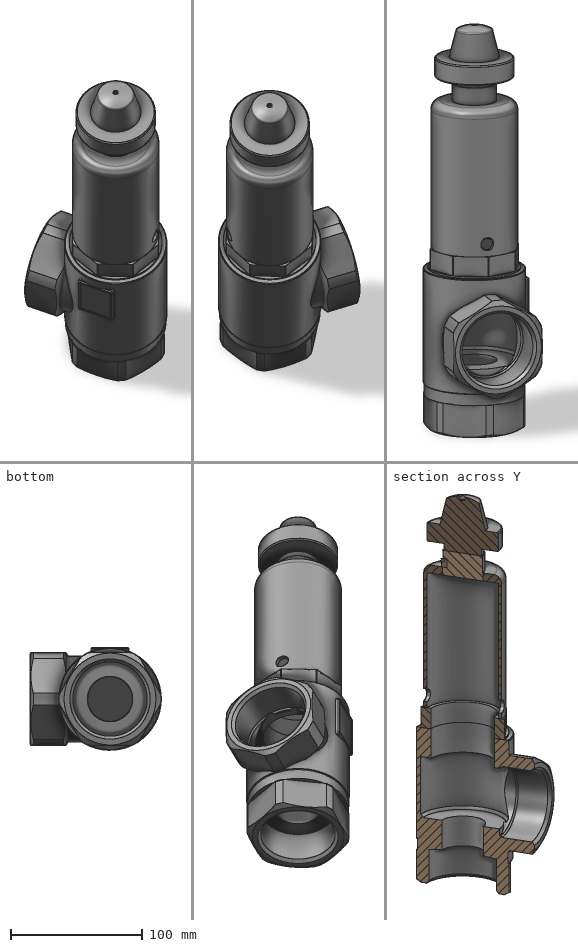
import cadquery as cq
import math


body_radius = 39.0
body_top = 124.7
body_chamfer = 0.5
skirt_radius = 38.5
skirt_top = 34.5
hex_apothem = 35.3
inlet_hex_top = 25.8
cavity_radius = 35.3
cavity_top = 100.8
cavity_floor = 52.5
cavity_bevel = 2.2
seat_radius = 31.2
throat_radius = 17.3

outlet_z = 74.3
outlet_end = 60.8
outlet_hex_radius = 38.5
collar_radius = 32.8
collar_start = 28.7
collar_fillet = 1.5

hex_bevel_radial = 4.0
hex_bevel_slope = math.tan(math.radians(30))
port_mouth_radius = 30.5
port_bore_radius = 28.5
port_bore_depth = 27.5
port_chamfer_depth = 2.5
port_inner_radius = 27.0
port_cone_depth = 1.3

plate_width = 29.0
plate_bottom = 81.3
plate_top = 117.2
plate_front = 39.5
plate_corner = 2.0
plate_chamfer = 1.0
plate_frame = 2.2
plate_recess = 0.5

nut_top = 141.0
nut_apothem = 32.8
nut_radius = 35.3
nut_collar_height = 1.3
nut_bore_radius = 26.5

sleeve_radius = 33.0
sleeve_top = 256.0
sleeve_round = 7.0
sleeve_wall = 3.0
sleeve_bore_radius = sleeve_radius - sleeve_wall
sleeve_bore_top = sleeve_top - sleeve_round
vent_radius = 5.0
vent_z = 151.0

stem_radius = 17.0
stem_top = 269.5
pin_radius = 3.0
pin_length = 4.7
pin_tip = 18.3
pin_z = sleeve_top + pin_radius

cap_neck_radius = 16.0
flange_bottom = 274.7
flange_top = 290.0
flange_radius = 30.2
flange_chamfer = 1.0
cone_base_radius = 19.2
dome_base = 311.5
dome_radius = 14.0
dome_rim_round = 1.3
total_height = 315.0
cap_hole_radius = 2.0
cap_hole_depth = 3.0


def cylinder(radius, bottom, top):
    """Upright cylinder on the valve axis."""
    return cq.Workplane("XY").workplane(offset=bottom).circle(radius).extrude(top - bottom)


def cylinder_along_x(radius, start, end, z):
    """Cylinder parallel to X at height z in the Y = 0 plane."""
    return cq.Workplane("YZ", origin=(start, 0, z)).circle(radius).extrude(end - start)


def polygon_prism(sides, apothem, height):
    """Regular prism on the XY plane with one corner on the X axis."""
    corner_diameter = 2 * apothem / math.cos(math.pi / sides)
    return cq.Workplane("XY").polygon(sides, corner_diameter).extrude(height)


def revolve_outline(outline):
    """Solid of revolution about Z from a closed list of (radius, z) points."""
    return cq.Workplane("XZ").polyline(outline).close().revolve(360, (0, 0), (0, 1))


def keep_hexagon(turned, height):
    """Mill a turned blank down to the hexagon, with two of its flats facing +Y and -Y."""
    return turned.intersect(polygon_prism(6, hex_apothem, height))


def make_inlet_hex():
    outline = [
        (0, 0),
        (body_radius - hex_bevel_radial, 0),
        (body_radius, hex_bevel_radial * hex_bevel_slope),
        (body_radius, inlet_hex_top),
        (0, inlet_hex_top),
    ]
    return keep_hexagon(revolve_outline(outline), inlet_hex_top)


def make_outlet_branch():
    """Hexagon bevelled on both sides, running into a round collar that reaches the valve axis."""
    back_bevel_start = collar_start - (outlet_hex_radius - collar_radius) * hex_bevel_slope
    outline = [
        (0, 0),
        (outlet_hex_radius - hex_bevel_radial, 0),
        (outlet_hex_radius, hex_bevel_radial * hex_bevel_slope),
        (outlet_hex_radius, back_bevel_start),
        (collar_radius, collar_start),
        (collar_radius, outlet_end),
        (0, outlet_end),
    ]
    collar_corner = cq.selectors.NearestToPointSelector((0, 0, collar_start))
    turned = revolve_outline(outline).edges(collar_corner).fillet(collar_fillet)
    return keep_hexagon(turned, outlet_end)


def port_bore(inner_radius, depth):
    """Chamfered thread bore starting at z = 0, narrowing to inner_radius until depth."""
    cone_end = port_bore_depth + port_cone_depth
    outline = [
        (0, 0),
        (port_mouth_radius, 0),
        (port_bore_radius, port_chamfer_depth),
        (port_bore_radius, port_bore_depth),
        (inner_radius, cone_end),
        (inner_radius, depth),
        (0, depth),
    ]
    return revolve_outline(outline)


def make_cavity():
    bevel_top = cavity_floor + cavity_bevel
    outline = [
        (0, cavity_floor),
        (cavity_radius - cavity_bevel, cavity_floor),
        (cavity_radius, bevel_top),
        (cavity_radius, cavity_top),
        (nut_bore_radius, cavity_top),
        (nut_bore_radius, body_top),
        (0, body_top),
    ]
    return revolve_outline(outline)


def to_outlet(shape):
    """Move a shape built upwards from z = 0 onto the outlet face, pointing inwards (+X)."""
    return shape.rotate((0, 0, 0), (0, 1, 0), 90).translate((-outlet_end, 0, outlet_z))


def add_name_plate(body):
    plate_height = plate_top - plate_bottom
    plate_z = (plate_top + plate_bottom) / 2
    face = cq.Workplane("XZ", origin=(0, -plate_front, plate_z))
    depth = plate_front - cavity_radius - plate_recess
    plate = face.rect(plate_width, plate_height).extrude(-depth).edges("|Y").fillet(plate_corner)
    plate = plate.faces("<Y").edges().chamfer(plate_chamfer)
    panel_size = (plate_width - 2 * plate_frame, plate_height - 2 * plate_frame)
    panel = face.rect(*panel_size).extrude(-plate_recess)
    return body.union(plate).cut(panel)


def make_body():
    barrel = cylinder(body_radius, skirt_top, body_top).edges().chamfer(body_chamfer)
    skirt = cylinder(skirt_radius, inlet_hex_top, skirt_top)
    body = barrel.union(skirt).union(make_inlet_hex()).union(to_outlet(make_outlet_branch()))
    body = add_name_plate(body)

    seat = cylinder(seat_radius, 0, body_top)
    outlet = to_outlet(port_bore(port_inner_radius, outlet_end)).cut(seat)
    inlet = port_bore(throat_radius, cavity_floor)
    return body.cut(outlet).cut(make_cavity()).cut(inlet)


def make_nut():
    octagon_bottom = body_top + nut_collar_height
    octagon = polygon_prism(8, nut_apothem, nut_top - octagon_bottom).translate((0, 0, octagon_bottom))
    octagon = octagon.intersect(cylinder(nut_radius, octagon_bottom, nut_top))
    collar = cylinder(nut_radius, body_top, octagon_bottom)
    return octagon.union(collar).cut(cylinder(nut_bore_radius, body_top, nut_top))


def make_sleeve():
    sleeve = cylinder(sleeve_radius, nut_top, sleeve_top).faces(">Z").edges().fillet(sleeve_round)
    sleeve = sleeve.cut(cylinder(sleeve_bore_radius, nut_top, sleeve_bore_top))
    sleeve = sleeve.cut(cylinder(stem_radius, sleeve_bore_top, sleeve_top))
    return sleeve.cut(cylinder_along_x(vent_radius, -sleeve_radius, sleeve_radius, vent_z))


def make_pin():
    return cylinder_along_x(pin_radius, pin_tip - pin_length, pin_tip, pin_z)


def make_stem(pin):
    return cylinder(stem_radius, sleeve_bore_top, stem_top).cut(pin)


def make_cap():
    dome_height = total_height - dome_base
    sphere_radius = (dome_radius**2 + dome_height**2) / (2 * dome_height)
    half_angle = math.asin(dome_radius / sphere_radius) / 2
    sphere_centre = total_height - sphere_radius
    dome_middle = (
        sphere_radius * math.sin(half_angle),
        sphere_centre + sphere_radius * math.cos(half_angle),
    )
    cap = (
        cq.Workplane("XZ")
        .moveTo(0, stem_top)
        .lineTo(cap_neck_radius, stem_top)
        .lineTo(cap_neck_radius, flange_bottom)
        .lineTo(flange_radius - flange_chamfer, flange_bottom)
        .lineTo(flange_radius, flange_bottom + flange_chamfer)
        .lineTo(flange_radius, flange_top - flange_chamfer)
        .lineTo(flange_radius - flange_chamfer, flange_top)
        .lineTo(cone_base_radius, flange_top)
        .lineTo(dome_radius, dome_base)
        .threePointArc(dome_middle, (0, total_height))
        .close()
        .revolve(360, (0, 0), (0, 1))
    )
    cap = cap.edges(cq.selectors.RadiusNthSelector(0)).fillet(dome_rim_round)
    return cap.cut(cylinder(cap_hole_radius, total_height - cap_hole_depth, total_height))


body = make_body()
nut = make_nut()
sleeve = make_sleeve()
pin = make_pin()
stem = make_stem(pin)
cap = make_cap()

result = cq.Compound.makeCompound(
    [body.val(), nut.val(), sleeve.val(), stem.val(), pin.val(), cap.val()]
)